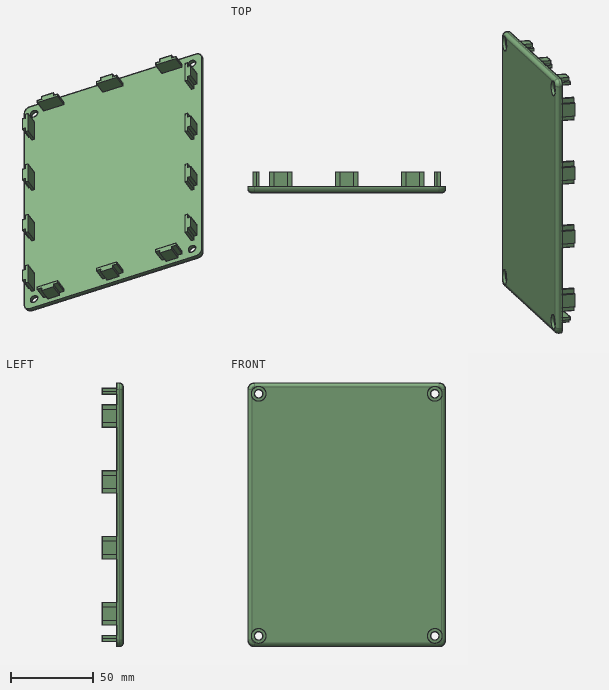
import cadquery as cq

width = 120.0
depth = 12.8
height = 160.0

plate_thickness = 4.0
corner_radius = 4.0
rim_radius = 2.4

hole_diameter = 5.0
counterbore_diameter = 9.0
counterbore_depth = 2.0
hole_inset = 6.5

clip_inset = 3.0
clip_pitch = 40.0
head_width = 8.0
head_thickness = 2.0
flange_width = 13.8
flange_thickness = 1.8
clips_along_width = 3
clips_along_height = 4

front_y = -depth / 2
plate_back_y = front_y + plate_thickness
clip_length = depth - plate_thickness


def make_plate():
    """Rectangular plate with rounded corners and a rounded front rim."""
    plate = cq.Workplane("XY").box(width, plate_thickness, height)
    plate = plate.edges("|Y").fillet(corner_radius)
    plate = plate.faces("<Y").edges().fillet(rim_radius)
    return plate.translate((0, front_y + plate_thickness / 2, 0))


def drill_screw_holes(plate):
    """Cut the four corner holes with their counterbores from the front face."""
    return (
        plate.faces("<Y")
        .workplane(origin=(0, front_y, 0))
        .rect(width - 2 * hole_inset, height - 2 * hole_inset, forConstruction=True)
        .vertices()
        .cboreHole(hole_diameter, counterbore_diameter, counterbore_depth)
    )


def make_top_clip():
    """Clip for the middle of the top edge: narrow head outside, wide flange inside."""
    head_top = height / 2 - clip_inset
    flange_top = head_top - head_thickness
    clip_base = cq.Workplane("XY")
    head = clip_base.box(head_width, clip_length, head_thickness, centered=(True, False, False))
    flange = clip_base.box(flange_width, clip_length, flange_thickness, centered=(True, False, False))
    head = head.translate((0, plate_back_y, flange_top))
    flange = flange.translate((0, plate_back_y, flange_top - flange_thickness))
    return head.union(flange)


def make_side_clip():
    """The same clip turned to the middle of the right-hand edge."""
    turned = make_top_clip().rotate((0, 0, 0), (0, 1, 0), 90)
    return turned.translate((width / 2 - height / 2, 0, 0))


def row_positions(count):
    """Evenly pitched positions centred on zero."""
    return [(i - (count - 1) / 2) * clip_pitch for i in range(count)]


result = drill_screw_holes(make_plate())

top_clip = make_top_clip()
bottom_clip = top_clip.mirror("XY")
for x in row_positions(clips_along_width):
    result = result.union(top_clip.translate((x, 0, 0)))
    result = result.union(bottom_clip.translate((x, 0, 0)))

right_clip = make_side_clip()
left_clip = right_clip.mirror("YZ")
for z in row_positions(clips_along_height):
    result = result.union(right_clip.translate((0, 0, z)))
    result = result.union(left_clip.translate((0, 0, z)))